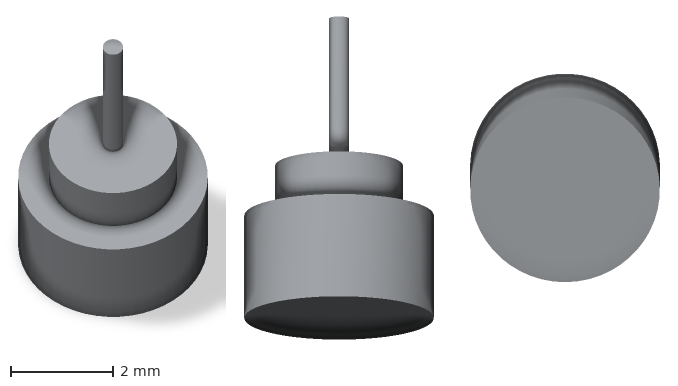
import cadquery as cq

total_height = 6.0
base_diameter = 3.7
base_height = 2.05
collar_diameter = 2.5
collar_height = 0.995
pin_diameter = 0.395

pin_length = total_height - base_height - collar_height


def add_cylinder(body, diameter, height):
    """Stack a concentric cylinder on the top face of the body."""
    return body.faces(">Z").workplane().circle(diameter / 2).extrude(height)


base = cq.Workplane("XY").circle(base_diameter / 2).extrude(base_height)

base_with_collar = add_cylinder(base, collar_diameter, collar_height)

result = add_cylinder(base_with_collar, pin_diameter, pin_length)